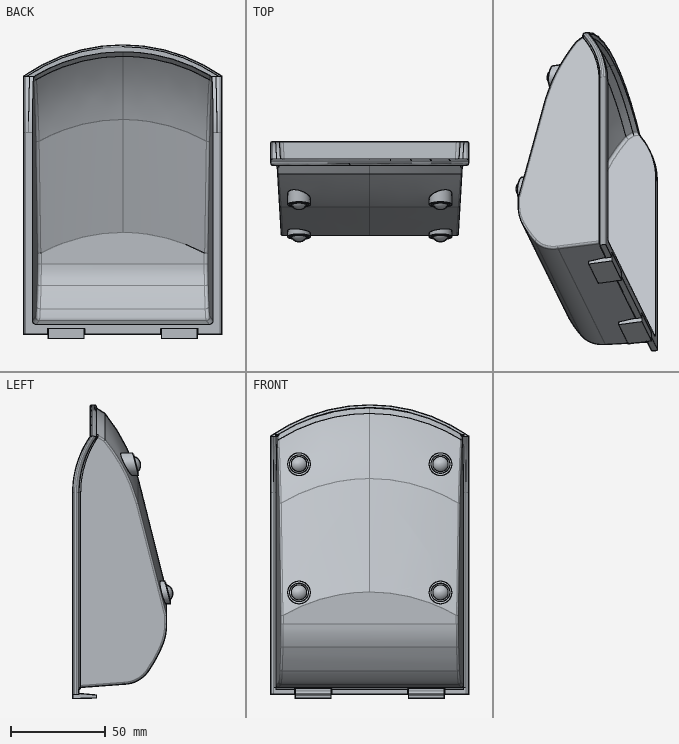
import cadquery as cq
import math

WIDTH = 105.0
HEIGHT = 153.5
CROWN_RADIUS = 91.0
WALL = 2.0
CAVITY_ROUND = 2.0
EDGE_ROUND = 1.15
MARGIN = 5.0

FLANGE_DEPTH = 3.4
FLANGE_SETBACK = 9.3
BEND_START = 107.0
BEND_END = 136.6
FLANGE_FRONT_ROUND = 1.4
FLANGE_BACK_ROUND = 1.0
ROOT_FILLET = 0.9

SLOPE_ANGLE = 14.1
ARC_RADIUS = 95.0
SHOULDER_Y, SHOULDER_Z = -17.2, 148.9
RIM_DROP = 1.7
SLOPE_TOP_Y, SLOPE_TOP_Z = -34.8, 114.4
FRONT_Y = -49.9
COVER_HALF_WIDTH = 49.9
SIDE_DRAFT = 3.4

CHIN_TOP_Z = 37.3
CHIN_UPPER = (-47.3, 25.0)
CHIN_LOWER = (-40.3, 12.4)
CHIN_END = (-27.5, 5.3)
UNDERSIDE_ANGLE = 4.2

PIN_X = 37.5
PIN_Z = (54.0, 122.0)
LOWER_FACE_Y = -50.44
BOSS_DIAMETER = 12.0
BOSS_ROOT = 11.0
PIN_DIAMETER = 10.0
PIN_DEPTH = 2.0
PIN_STEP = 0.3
DOME_DIAMETER = 8.2
DOME_HEIGHT = 2.4

CLIP_X = 30.0
CLIP_WIDTH = 19.1
CLIP_GAP = 0.25
CLIP_LEAF_TOP = 3.0
CLIP_LEAF_DEPTH = 2.8
CLIP_REACH = 12.8
CLIP_BOTTOM = -2.3
CLIP_TIP_BOTTOM = -2.0
CLIP_TIP_TOP = -0.3
CLIP_PLATE_TOP = 0.6
CLIP_FILLET = 1.2

SLOPE = math.tan(math.radians(SLOPE_ANGLE))
LEAN = math.tan(math.radians(SIDE_DRAFT))
UNDERSIDE_RISE = math.tan(math.radians(UNDERSIDE_ANGLE))
RIM_Z = HEIGHT - RIM_DROP
FLANGE_FOOT_Y = -FLANGE_DEPTH
FLANGE_FRONT_Y = -FLANGE_SETBACK - FLANGE_DEPTH


def crown_drop(x):
    """Fall of the arched top at distance x from the middle."""
    return CROWN_RADIUS - math.sqrt(CROWN_RADIUS**2 - x**2)


def underside_z(y):
    """Height of the cover's underside at depth y."""
    return CHIN_END[1] - (y - CHIN_END[0]) * UNDERSIDE_RISE


def back_edge(start, top):
    """Back edge of the side, continued from the foot: straight, bent forward, straight."""
    rise = BEND_END - BEND_START
    radius = (rise**2 + FLANGE_SETBACK**2) / (2 * FLANGE_SETBACK)
    half_rise = rise / 2
    mid_bend = radius - math.sqrt(radius**2 - half_rise**2)
    return (
        start.lineTo(0, BEND_START)
        .threePointArc((-mid_bend, BEND_START + half_rise), (-FLANGE_SETBACK, BEND_END))
        .lineTo(-FLANGE_SETBACK, top)
    )


def front_space():
    """Everything in front of the curved back edge."""
    far_y = 2 * FRONT_Y
    return (
        back_edge(cq.Workplane("YZ", origin=(-WIDTH, 0, 0)).moveTo(0, -HEIGHT), 2 * HEIGHT)
        .lineTo(far_y, 2 * HEIGHT)
        .lineTo(far_y, -HEIGHT)
        .close()
        .extrude(2 * WIDTH)
    )


def flange_sides():
    """Flange strip with rounded side edges, carried up along the curved back edge."""
    half = WIDTH / 2
    section = (
        cq.Workplane("XY")
        .moveTo(-half + FLANGE_BACK_ROUND, 0)
        .lineTo(half - FLANGE_BACK_ROUND, 0)
        .radiusArc((half, -FLANGE_BACK_ROUND), FLANGE_BACK_ROUND)
        .lineTo(half, FLANGE_FRONT_ROUND - FLANGE_DEPTH)
        .radiusArc((half - FLANGE_FRONT_ROUND, -FLANGE_DEPTH), FLANGE_FRONT_ROUND)
        .lineTo(FLANGE_FRONT_ROUND - half, -FLANGE_DEPTH)
        .radiusArc((-half, FLANGE_FRONT_ROUND - FLANGE_DEPTH), FLANGE_FRONT_ROUND)
        .lineTo(-half, -FLANGE_BACK_ROUND)
        .radiusArc((-half + FLANGE_BACK_ROUND, 0), FLANGE_BACK_ROUND)
        .close()
    )
    path = back_edge(cq.Workplane("YZ").moveTo(0, 0), HEIGHT)
    return section.sweep(path, normal=(0, 0, 1))


def flange_bound():
    """Arched top plate with rounded edges, standing on a block wider than the flange."""
    reach = WIDTH / 2 + MARGIN
    end_z = HEIGHT - crown_drop(reach)
    plate = (
        cq.Workplane("XZ", origin=(0, -FLANGE_SETBACK, 0))
        .moveTo(-reach, end_z)
        .threePointArc((0, HEIGHT), (reach, end_z))
        .lineTo(reach, 0)
        .lineTo(-reach, 0)
        .close()
        .extrude(FLANGE_DEPTH)
    )
    plate = plate.faces("<Y").edges("%CIRCLE").fillet(FLANGE_FRONT_ROUND)
    plate = plate.faces(">Y").edges("%CIRCLE").fillet(FLANGE_BACK_ROUND)
    block = cq.Workplane("XY").rect(2 * reach, 2 * reach).extrude(BEND_END)
    return plate.union(block)


def make_flange():
    return flange_sides().intersect(flange_bound())


def crown_path(reach):
    """Crown arch from -reach to reach, in two halves that meet in the middle."""
    drop = crown_drop(reach)
    half_drop = crown_drop(reach / 2)
    return (
        cq.Workplane("XZ")
        .moveTo(-reach, -drop)
        .threePointArc((-reach / 2, -half_drop), (0, 0))
        .threePointArc((reach / 2, -half_drop), (reach, -drop))
    )


def arched_form(inset):
    """Front profile carried across X along the crown arch without turning."""
    reach = WIDTH / 2 + MARGIN
    foot_z = -HEIGHT / 4
    foot_y = SLOPE_TOP_Y - (SLOPE_TOP_Z - foot_z) * SLOPE
    chord_y = SHOULDER_Y - SLOPE_TOP_Y
    chord_z = SHOULDER_Z - SLOPE_TOP_Z
    chord = math.hypot(chord_y, chord_z)
    bulge = ARC_RADIUS - math.sqrt(ARC_RADIUS**2 - chord**2 / 4)
    arc_mid = (
        (SHOULDER_Y + SLOPE_TOP_Y) / 2 - bulge * chord_z / chord,
        (SHOULDER_Z + SLOPE_TOP_Z) / 2 + bulge * chord_y / chord,
    )
    profile = (
        cq.Workplane("YZ", origin=(-reach, 0, -crown_drop(reach)))
        .moveTo(MARGIN, RIM_Z)
        .lineTo(FLANGE_FRONT_Y, RIM_Z)
        .lineTo(SHOULDER_Y, SHOULDER_Z)
        .threePointArc(arc_mid, (SLOPE_TOP_Y, SLOPE_TOP_Z))
        .lineTo(foot_y, foot_z)
        .lineTo(MARGIN, foot_z)
        .close()
    )
    if inset:
        profile = profile.offset2D(-inset)
    return profile.sweep(crown_path(reach), normal=(1, 0, 0))


def chin_form(inset):
    """Flat lower front, chin and underside, straight across X."""
    profile = (
        cq.Workplane("YZ", origin=(-WIDTH, 0, 0))
        .moveTo(MARGIN, 2 * HEIGHT)
        .lineTo(FRONT_Y, 2 * HEIGHT)
        .lineTo(FRONT_Y, CHIN_TOP_Z)
        .tangentArcPoint(CHIN_UPPER, relative=False)
        .tangentArcPoint(CHIN_LOWER, relative=False)
        .tangentArcPoint(CHIN_END, relative=False)
        .lineTo(MARGIN, underside_z(MARGIN))
        .close()
    )
    if inset:
        profile = profile.offset2D(-inset)
    return profile.extrude(2 * WIDTH)


def side_form(inset):
    """Space between the two leaning side walls."""
    back = COVER_HALF_WIDTH + MARGIN * LEAN - inset
    front_y = 2 * FRONT_Y
    front = COVER_HALF_WIDTH + front_y * LEAN - inset
    return (
        cq.Workplane("XY", origin=(0, 0, -HEIGHT))
        .polyline([(-back, MARGIN), (back, MARGIN), (front, front_y), (-front, front_y)])
        .close()
        .extrude(3 * HEIGHT)
    )


def cover_form(inset):
    return arched_form(inset).intersect(chin_form(inset)).intersect(side_form(inset))


def side_cove(side):
    """Concave fillet between the flange and a leaning side wall of the cover."""
    foot_z = underside_z(FLANGE_FOOT_Y)
    wall_x = COVER_HALF_WIDTH + FLANGE_FOOT_Y * LEAN
    section = (
        cq.Workplane("XY", origin=(side * wall_x, FLANGE_FOOT_Y, foot_z))
        .moveTo(-side * EDGE_ROUND, 0)
        .lineTo(side * ROOT_FILLET, 0)
        .radiusArc((0, -ROOT_FILLET), -side * ROOT_FILLET)
        .lineTo(-side * EDGE_ROUND, -ROOT_FILLET)
        .close()
    )
    wall_plane = cq.Plane(
        origin=(side * wall_x, FLANGE_FOOT_Y, 0),
        xDir=(side * LEAN, 1, 0),
        normal=(1, -side * LEAN, 0),
    )
    path = back_edge(cq.Workplane(wall_plane).moveTo(0, foot_z), BEND_END + EDGE_ROUND)
    return section.sweep(path, normal=(0, 0, 1))


def underside_cove():
    """Concave fillet between the flange and the underside of the cover."""
    half = COVER_HALF_WIDTH + FLANGE_FOOT_Y * LEAN
    root_z = underside_z(FLANGE_FOOT_Y)
    return (
        cq.Workplane("YZ", origin=(-half, FLANGE_FOOT_Y, root_z))
        .moveTo(0, EDGE_ROUND)
        .lineTo(0, -ROOT_FILLET)
        .radiusArc((-ROOT_FILLET, ROOT_FILLET * UNDERSIDE_RISE), ROOT_FILLET)
        .lineTo(-ROOT_FILLET, EDGE_ROUND)
        .close()
        .extrude(2 * half)
    )


def make_cavity():
    """Inside of the cover, open at the back, with rounded edges along the side walls."""
    cavity = cover_form(WALL)
    return cavity.faces("<X or >X").edges().fillet(CAVITY_ROUND)


def boss_face_y(z):
    return LOWER_FACE_Y + (z - PIN_Z[0]) * SLOPE


def face_plane(x, z):
    """Plane on a boss face, looking out along the slope's normal."""
    tilt = math.radians(SLOPE_ANGLE)
    return cq.Plane(
        origin=(x, boss_face_y(z), z),
        xDir=(1, 0, 0),
        normal=(0, -math.cos(tilt), math.sin(tilt)),
    )


def make_boss(x, z):
    """Round boss along Y with its end cut parallel to the slope."""
    blank = (
        cq.Workplane("XZ", origin=(x, boss_face_y(z) + BOSS_ROOT, z))
        .circle(BOSS_DIAMETER / 2)
        .extrude(2 * BOSS_ROOT)
    )
    beyond = (
        cq.Workplane(face_plane(x, z))
        .rect(2 * BOSS_DIAMETER, 2 * BOSS_DIAMETER)
        .extrude(2 * BOSS_ROOT)
    )
    return blank.cut(beyond)


def make_pin(x, z):
    """Short pin with a collar and a domed head."""
    pin_radius = PIN_DIAMETER / 2
    dome_radius = DOME_DIAMETER / 2
    sphere_radius = (dome_radius**2 + DOME_HEIGHT**2) / (2 * DOME_HEIGHT)
    tip = PIN_STEP + DOME_HEIGHT
    half_angle = math.asin(dome_radius / sphere_radius) / 2
    dome_mid = (
        sphere_radius * math.sin(half_angle),
        tip - sphere_radius * (1 - math.cos(half_angle)),
    )
    half_section = (
        cq.Workplane("XY")
        .moveTo(0, -PIN_DEPTH)
        .lineTo(pin_radius, -PIN_DEPTH)
        .lineTo(pin_radius, PIN_STEP)
        .lineTo(dome_radius, PIN_STEP)
        .threePointArc(dome_mid, (0, tip))
        .close()
    )
    turned = half_section.revolve(360, (0, 0, 0), (0, 1, 0))
    upright = turned.rotate((0, 0, 0), (1, 0, 0), 90)
    return cq.Workplane(upright.val().located(cq.Location(face_plane(x, z))))


def make_notch(x):
    """Opening in the flange foot that takes a clip's leaf."""
    width = CLIP_WIDTH + 2 * CLIP_GAP
    return (
        cq.Workplane("XY", origin=(x, 0, 0))
        .rect(width, 4 * FLANGE_DEPTH)
        .extrude(CLIP_LEAF_TOP)
    )


def make_clip(x):
    """Angle piece: a leaf standing in the notch and a plate reaching forward."""
    clip = (
        cq.Workplane("YZ", origin=(x - CLIP_WIDTH / 2, 0, 0))
        .polyline(
            [
                (0, CLIP_BOTTOM),
                (0, CLIP_LEAF_TOP),
                (-CLIP_LEAF_DEPTH, CLIP_LEAF_TOP),
                (-CLIP_LEAF_DEPTH, CLIP_PLATE_TOP),
                (-CLIP_REACH, CLIP_TIP_TOP),
                (-CLIP_REACH, CLIP_TIP_BOTTOM),
            ]
        )
        .close()
        .extrude(CLIP_WIDTH)
    )
    inner_corner = cq.selectors.NearestToPointSelector((x, -CLIP_LEAF_DEPTH, CLIP_PLATE_TOP))
    return clip.edges("|X").edges(inner_corner).fillet(CLIP_FILLET)


def make_housing(pins):
    """Hollow cover with its flange, bosses, pin sockets and clip notches."""
    flange = make_flange()
    cover = cover_form(0)
    cover = cover.faces("<X or >X").edges().fillet(EDGE_ROUND)
    housing = cover.intersect(front_space()).union(flange)
    for cove in (side_cove(-1), side_cove(1), underside_cove()):
        housing = housing.union(cove)
    for x, z in PIN_PLACES:
        housing = housing.union(make_boss(x, z))
    housing = housing.cut(make_cavity())
    for pin in pins:
        housing = housing.cut(pin)
    for side in (-1, 1):
        housing = housing.cut(make_notch(side * CLIP_X))
    return housing


PIN_PLACES = [(side * PIN_X, z) for side in (-1, 1) for z in PIN_Z]

pins = [make_pin(x, z) for x, z in PIN_PLACES]
clips = [make_clip(side * CLIP_X) for side in (-1, 1)]
housing = make_housing(pins)

result = cq.Compound.makeCompound(
    [housing.val(), *[pin.val() for pin in pins], *[clip.val() for clip in clips]]
)